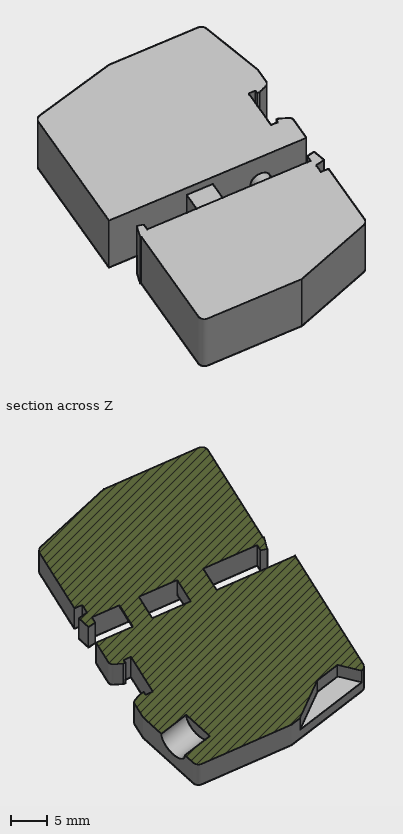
import cadquery as cq
import math

length = 46.55
thickness = 10.1
mid_height = thickness / 2
top_edge = 31.0
corner_radius = 1.0
slant = math.tan(math.radians(15))

left_width = 24.6
lower_slant_end = 13.45
upper_slant_start = 28.15
upper_slant_end_x = (top_edge - upper_slant_start) / slant

notch_center = 17.0
notch_floor = 27.85
notch_half_width = 3.2
lip_half_gap = 2.7
lip_bottom = 28.9
lip_top = 29.3
mouth_half_width = 3.45
mouth_radius = 0.75

right_start = 28.5
right_bottom = 2.5
right_slant_start = 18.25
right_slant_angle = 20
hook_tip_x = 27.3
hook_inner_x = 27.5
upper_hook_bottom = 29.5
upper_hook_tip_y = 30.7
upper_hook_peak = (29.25, 31.25)
lower_hook_top = 3.85
lower_hook_tip_y = 2.9
lower_hook_peak = (29.2, 2.37)
lower_hook_end_x = 29.25
groove_start = 29.55
groove_end = 30.9
groove_floor = 29.8

overlap = 0.45
rod_diameter = 3.05
rod_y = 23.75
bar_width = 4.1
bar_y = 14.25
bar_height = 7.1

pocket_height = 5.65
mouth_y_low = 0.75
mouth_y_high = 11.9
pocket_floor_high = (4.85, 6.9)
pocket_floor_low_y = 3.25

hole_diameter = 4.75
hole_y = 29.4
hole_depth = 4.65


def notch_side(side):
    """Notch corners from the top edge down to the floor; side is -1 or 1."""
    offsets = [
        (mouth_half_width, top_edge),
        (lip_half_gap, lip_top),
        (lip_half_gap, lip_bottom),
        (notch_half_width, lip_bottom),
        (notch_half_width, notch_floor),
    ]
    return [(notch_center + side * offset, y) for offset, y in offsets]


def round_corner(body, point, radius):
    """Round the upright edge that passes through the given plan point."""
    edge = cq.selectors.NearestToPointSelector((*point, mid_height))
    return body.edges("|Z").edges(edge).fillet(radius)


def make_left_housing():
    lower_corner = (lower_slant_end * slant, 0)
    upper_corner = (0, upper_slant_start)
    left_mouth = notch_side(-1)
    right_mouth = notch_side(1)
    outline = [
        lower_corner,
        (left_width, 0),
        (left_width, top_edge),
        *right_mouth,
        *reversed(left_mouth),
        (upper_slant_end_x, top_edge),
        upper_corner,
        (0, lower_slant_end),
    ]
    body = cq.Workplane("XY").polyline(outline).close().extrude(thickness)
    for corner in (lower_corner, upper_corner):
        body = round_corner(body, corner, corner_radius)
    for mouth in (left_mouth, right_mouth):
        body = round_corner(body, mouth[0], mouth_radius)
    return body


def make_right_housing():
    slant_run = (top_edge - right_slant_start) * math.tan(math.radians(right_slant_angle))
    upper_corner = (length - slant_run, top_edge)
    lower_corner = (length, right_bottom)
    outline = [
        (right_start, lower_hook_top),
        (hook_inner_x, lower_hook_top),
        (hook_tip_x, lower_hook_tip_y),
        lower_hook_peak,
        (lower_hook_end_x, right_bottom),
        lower_corner,
        (length, right_slant_start),
        upper_corner,
        (groove_end, top_edge),
        (groove_end, groove_floor),
        (groove_start, groove_floor),
        upper_hook_peak,
        (hook_tip_x, upper_hook_tip_y),
        (hook_inner_x, upper_hook_bottom),
        (right_start, upper_hook_bottom),
    ]
    body = cq.Workplane("XY").polyline(outline).close().extrude(thickness)
    for corner in (lower_corner, upper_corner):
        body = round_corner(body, corner, corner_radius)
    return body


def make_connectors():
    span = right_start - left_width + 2 * overlap
    plane = cq.Workplane("YZ", origin=(left_width - overlap, 0, mid_height))
    rod = plane.center(rod_y, 0).circle(rod_diameter / 2).extrude(span)
    bar = plane.center(bar_y, 0).rect(bar_width, bar_height).extrude(span)
    return rod.union(bar)


def make_pocket():
    def face_x(y):
        return (lower_slant_end - y) * slant

    floor_x, floor_y = pocket_floor_high
    outline = [
        (face_x(mouth_y_high), mouth_y_high),
        pocket_floor_high,
        (floor_x + (floor_y - pocket_floor_low_y) * slant, pocket_floor_low_y),
        (face_x(mouth_y_low), mouth_y_low),
    ]
    plane = cq.Workplane("XY", origin=(0, 0, mid_height))
    return plane.polyline(outline).close().extrude(pocket_height / 2, both=True)


def make_hole():
    hole_x = (hole_y - upper_slant_start) / slant
    inward = cq.Plane(origin=(hole_x, hole_y, mid_height), xDir=(0, 0, 1), normal=(slant, -1, 0))
    return cq.Workplane(inward).circle(hole_diameter / 2).extrude(hole_depth)


left_housing = make_left_housing().cut(make_pocket()).cut(make_hole())
result = left_housing.union(make_right_housing()).union(make_connectors())